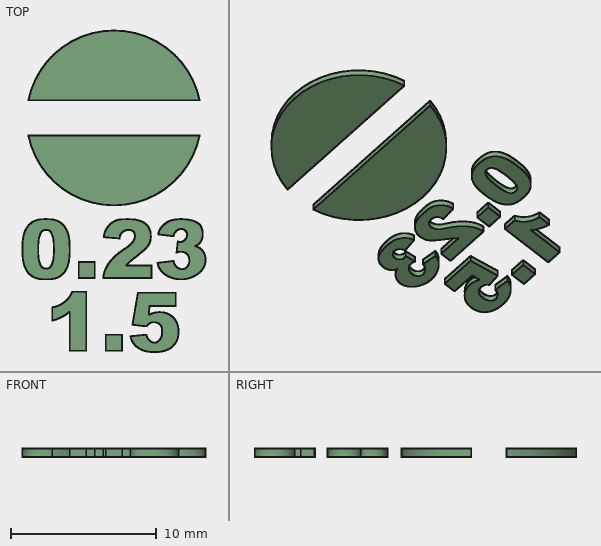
import cadquery as cq
import math


thickness = 0.6
total_length = 22.07

disc_radius = 6.0
gap_width = 2.4

cap_height = 4.05
overshoot = 0.09
row_pitch = 4.99
lower_baseline = disc_radius - total_length + overshoot
upper_baseline = lower_baseline + row_pitch

dot_side = 1.13

zero_left = -6.3
upper_dot_left = -2.43
two_left = -0.75
three_left = 2.98
one_left = -4.24
lower_dot_left = -0.57
five_left = 1.13

zero_width = 3.27
zero_outer_exponent = 2.6
zero_hole_width = 1.05
zero_hole_height = 2.65
zero_hole_exponent = 2.7
superellipse_points = 24

two_right = 3.33
two_foot_height = 0.88
two_foot_inner_corner = 1.6
one_right = 2.35
one_stem_left = 1.2
five_height = 4.0
five_bar_right = 3.11
five_bar_left = 0.5
five_bar_bottom = 3.07


def half_disc(side):
    """Disc segment on the +Y side (side = 1) or the -Y side (side = -1) of the gap."""
    chord_y = side * gap_width / 2
    half_chord = math.sqrt(disc_radius**2 - chord_y**2)
    return (
        cq.Workplane("XY")
        .moveTo(-half_chord, chord_y)
        .threePointArc((0, side * disc_radius), (half_chord, chord_y))
        .close()
        .extrude(thickness)
    )


def superellipse_plate(width, height, exponent):
    """Plate centred on the origin whose outline is |x/a|^n + |y/b|^n = 1."""
    points = []
    for index in range(superellipse_points):
        angle = 2 * math.pi * index / superellipse_points
        cosine = math.cos(angle)
        sine = math.sin(angle)
        x = width / 2 * math.copysign(abs(cosine) ** (2 / exponent), cosine)
        y = height / 2 * math.copysign(abs(sine) ** (2 / exponent), sine)
        points.append((x, y))
    return cq.Workplane("XY").spline(points, periodic=True).close().extrude(thickness)


def dot():
    """Square decimal point with its lower left corner at the origin."""
    return cq.Workplane("XY").rect(dot_side, dot_side, centered=False).extrude(thickness)


def figure_zero():
    """Oval ring standing on the baseline, its left edge at X = 0."""
    outer = superellipse_plate(zero_width, cap_height + overshoot, zero_outer_exponent)
    hole = superellipse_plate(zero_hole_width, zero_hole_height, zero_hole_exponent)
    return outer.cut(hole).translate((zero_width / 2, (cap_height - overshoot) / 2, 0))


def figure_one():
    """Upright stem with a curved flag on its left."""
    return (
        cq.Workplane("XY")
        .moveTo(one_right, cap_height)
        .lineTo(one_right, 0)
        .lineTo(one_stem_left, 0)
        .lineTo(one_stem_left, 2.67)
        .threePointArc((0.66, 2.32), (0, 2.07))
        .lineTo(0, 3.0)
        .threePointArc((0.84, 3.35), (1.37, cap_height))
        .close()
        .extrude(thickness)
    )


def figure_two():
    """Straight foot, diagonal neck and round hook."""
    return (
        cq.Workplane("XY")
        .lineTo(two_right, 0)
        .lineTo(two_right, two_foot_height)
        .lineTo(two_foot_inner_corner, two_foot_height)
        .spline(
            [(2.1, 1.35), (2.74, 1.85), (3.18, 2.36), (3.29, 2.85), (3.1, 3.55),
             (2.52, 3.95), (1.72, cap_height), (0.85, 3.95), (0.3, 3.5), (0.05, 2.8)],
            includeCurrent=True,
        )
        .lineTo(1.15, 2.71)
        .spline(
            [(1.28, 3.11), (1.7, 3.3), (2.1, 3.18), (2.18, 2.87), (2.03, 2.47),
             (1.24, 1.85), (0.35, 0.97), (0, 0)],
            includeCurrent=True,
        )
        .close()
        .extrude(thickness)
    )


def figure_three():
    """Two stacked bowls, open to the left."""
    return (
        cq.Workplane("XY")
        .moveTo(0.05, 3.0)
        .lineTo(1.1, 2.87)
        .spline(
            [(1.28, 3.22), (1.63, 3.38), (1.95, 3.22), (2.03, 2.98), (1.85, 2.6), (1.4, 2.54)],
            includeCurrent=True,
        )
        .lineTo(1.3, 1.75)
        .spline(
            [(1.68, 1.8), (2.05, 1.63), (2.18, 1.2), (2.05, 0.8), (1.7, 0.62), (1.32, 0.77), (1.1, 1.2)],
            includeCurrent=True,
        )
        .lineTo(0, 1.05)
        .spline(
            [(0.26, 0.49), (0.85, 0.07), (1.65, -overshoot), (2.43, 0.09), (3.07, 0.57),
             (3.3, 1.2), (3.15, 1.8), (2.58, 2.2)],
            includeCurrent=True,
        )
        .spline(
            [(2.98, 2.52), (3.11, 3.11), (2.9, 3.69), (2.43, 3.95), (1.7, cap_height),
             (0.77, 3.9), (0.3, 3.55), (0.05, 3.0)],
            includeCurrent=True,
        )
        .close()
        .extrude(thickness)
    )


def figure_five():
    """Straight top bar and slanted neck above a round bowl open to the left."""
    return (
        cq.Workplane("XY")
        .moveTo(five_bar_left, five_height)
        .lineTo(five_bar_right, five_height)
        .lineTo(five_bar_right, five_bar_bottom)
        .lineTo(1.32, five_bar_bottom)
        .lineTo(1.25, 2.47)
        .spline(
            [(1.92, 2.67), (2.65, 2.52), (3.18, 1.96), (3.3, 1.35), (3.13, 0.6),
             (2.55, 0.09), (1.65, -overshoot), (0.84, 0.05), (0.3, 0.4), (0, 1.02)],
            includeCurrent=True,
        )
        .lineTo(1.13, 1.13)
        .spline(
            [(1.3, 0.73), (1.7, 0.57), (2.05, 0.82), (2.18, 1.3), (2.05, 1.79), (1.68, 1.96), (1.1, 1.68)],
            includeCurrent=True,
        )
        .lineTo(0.13, 1.79)
        .close()
        .extrude(thickness)
    )


half_discs = [half_disc(side) for side in (1, -1)]

dot_corners = [(upper_dot_left, upper_baseline), (lower_dot_left, lower_baseline)]
dots = [dot().translate((left, baseline, 0)) for left, baseline in dot_corners]

zero = figure_zero().translate((zero_left, upper_baseline, 0))
two = figure_two().translate((two_left, upper_baseline, 0))
three = figure_three().translate((three_left, upper_baseline, 0))
one = figure_one().translate((one_left, lower_baseline, 0))
five = figure_five().translate((five_left, lower_baseline, 0))

bodies = [*half_discs, *dots, zero, one, two, three, five]
result = cq.Compound.makeCompound([body.val() for body in bodies])